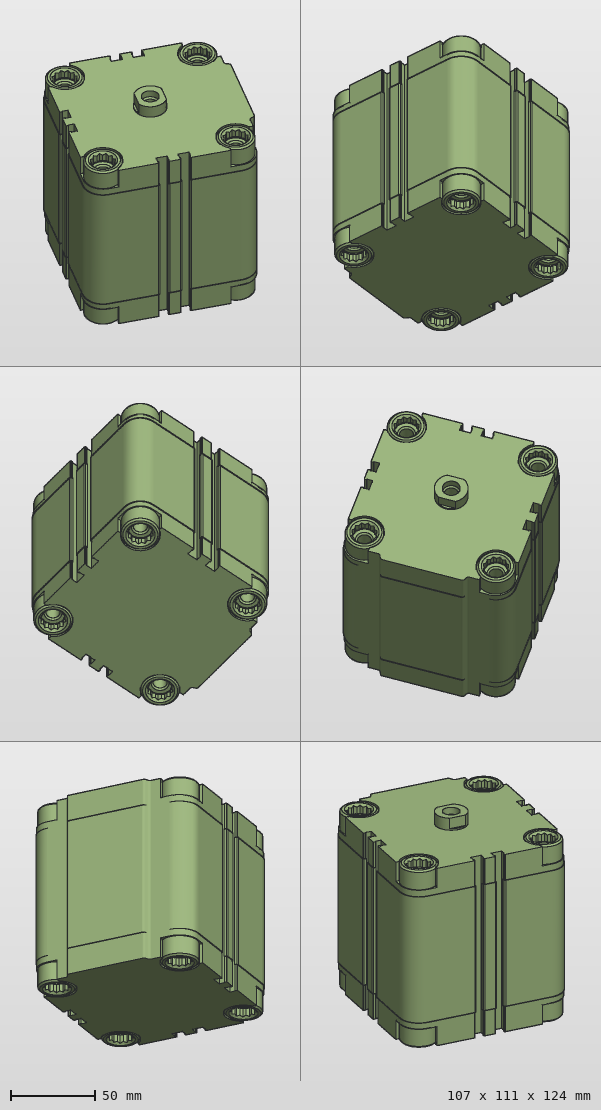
import cadquery as cq
import math

total_height = 124.0
housing_height = 116.2
cap_height = 16.7

outer_width = 107.0
outer_depth = 111.0
barrel_half = outer_width / 2
cap_inset = 0.5
cap_half = barrel_half - cap_inset
back_y = barrel_half
bolt_offset = 40.9
barrel_corner_radius = barrel_half - bolt_offset
cap_corner_radius = cap_half - bolt_offset

barrel_pad_y = outer_depth - barrel_half
pad_root_half = 27.3
pad_top_half = 25.5
pad_fillet = 1.7

slot_spacing = 13.5
slot_width = 6.8
slot_depth = 5.7
slot_lip = 2.1
barrel_lip_bevel = 1.0
cap_lip_bevel = 0.5
bevel_slope = 0.5

pocket_depth = 12.5
pocket_diameter = 23.5
pocket_reach = 6.3
head_diameter = 23.0
head_bevel = 1.1
socket_rim_diameter = 17.4
socket_diameter = 15.4
socket_rim_depth = 2.0
socket_star_depth = 6.5
socket_depth = 7.5
bolt_hole_diameter = 8.4
bolt_hole_rim_diameter = 10.5

rod_diameter = 20.0
rod_flats = 17.0
rod_collar = 1.0
rod_flat_bottom = housing_height + rod_collar
rod_base = housing_height - cap_height
rod_counterbore_diameter = 10.5
rod_counterbore_depth = 4.5
rod_hole_diameter = 8.4
rod_hole_depth = 19.8
drill_tip_angle = 118.0


def cone(bottom_diameter, top_diameter, bottom, top):
    """Upright cone frustum on the Z axis."""
    return cq.Workplane(cq.Solid.makeCone(
        bottom_diameter / 2, top_diameter / 2, top - bottom, cq.Vector(0, 0, bottom)))


def cylinder(diameter, bottom, top):
    """Upright cylinder on the Z axis."""
    return cq.Workplane("XY", origin=(0, 0, bottom)).circle(diameter / 2).extrude(top - bottom)


def edges_at(solid, x, y):
    """Vertical edges of a prism that pass through (x, y) or its mirror image (-x, y)."""
    near = 0.1
    selector = None
    for side in (-x, x):
        box = cq.selectors.BoxSelector((side - near, y - near, -total_height),
                                       (side + near, y + near, total_height))
        selector = box if selector is None else selector + box
    return solid.edges("|Z").edges(selector)


def housing_prism(half, corner_radius, pad_y, bottom, top):
    """Rounded block with a sloping-sided pad on its +Y face."""
    slope = (pad_root_half - pad_top_half) / (barrel_pad_y - back_y)
    pad_half = pad_root_half - slope * (pad_y - back_y)
    points = [
        (-half, -half), (half, -half), (half, back_y), (pad_root_half, back_y),
        (pad_half, pad_y), (-pad_half, pad_y), (-pad_root_half, back_y), (-half, back_y),
    ]
    prism = cq.Workplane("XY", origin=(0, 0, bottom)).polyline(points).close().extrude(top - bottom)
    for corner_y in (-half, back_y):
        prism = edges_at(prism, half, corner_y).fillet(corner_radius)
    prism = edges_at(prism, pad_root_half, back_y).fillet(pad_fillet)
    return edges_at(prism, pad_half, pad_y).fillet(pad_fillet)


def slot_cutter(half, lip_bevel, bottom, top):
    """T-slots with bevelled lips, in pairs on the -Y, +X and -X faces."""
    inner = slot_width / 2
    mouth = inner - lip_bevel
    lip_y = -barrel_half + slot_lip
    floor_y = -barrel_half + slot_depth
    right_side = [
        (inner, -half), (mouth, -half + bevel_slope * lip_bevel), (mouth, lip_y),
        (inner, lip_y), (inner, floor_y),
    ]
    left_side = [(-x, y) for x, y in reversed(right_side)]
    slot = cq.Workplane("XY", origin=(0, 0, bottom)).polyline(right_side + left_side)
    slot = slot.close().extrude(top - bottom)
    pair = slot.translate((-slot_spacing / 2, 0, 0)).union(slot.translate((slot_spacing / 2, 0, 0)))
    cutter = pair
    for angle in (90, -90):
        cutter = cutter.union(pair.rotate((0, 0, 0), (0, 0, 1), angle))
    return cutter


def housing_section(half, corner_radius, pad_y, lip_bevel, bottom, top):
    """One stretch of the housing, complete with its T-slots."""
    prism = housing_prism(half, corner_radius, pad_y, bottom, top)
    return prism.cut(slot_cutter(half, lip_bevel, bottom, top))


def corner_pocket():
    """Recess around a bolt head, open to the two faces that meet at the +X +Y corner."""
    floor = housing_height - pocket_depth
    side = pocket_reach + barrel_half - bolt_offset
    opening = cq.Workplane("XY", origin=(-pocket_reach, -pocket_reach, floor))
    opening = opening.rect(side, side, centered=False).extrude(pocket_depth)
    return opening.union(cylinder(pocket_diameter, floor, housing_height))


def bolt_head():
    """Round bolt head with a bevelled top, before its socket is cut."""
    shoulder = housing_height - head_bevel
    top_diameter = head_diameter - 2 * head_bevel
    head = cylinder(head_diameter, housing_height - pocket_depth, shoulder)
    return head.union(cone(head_diameter, top_diameter, shoulder, housing_height))


def bolt_socket():
    """Twelve-point socket with a countersunk rim, a round relief and a bevelled centre hole."""
    floor = housing_height - socket_depth
    relief_top = housing_height - socket_star_depth
    bevel = (bolt_hole_rim_diameter - bolt_hole_diameter) / 2
    socket = cylinder(socket_diameter, floor, relief_top)
    hexagon = cq.Workplane("XY", origin=(0, 0, relief_top)).polygon(6, socket_diameter)
    hexagon = hexagon.extrude(socket_star_depth)
    for angle in (0, 30):
        socket = socket.union(hexagon.rotate((0, 0, 0), (0, 0, 1), angle))
    rim_bottom_diameter = socket_rim_diameter - 2 * socket_rim_depth
    rim = cone(rim_bottom_diameter, socket_rim_diameter, housing_height - socket_rim_depth, housing_height)
    hole_bevel = cone(bolt_hole_diameter, bolt_hole_rim_diameter, floor - bevel, floor)
    hole = cylinder(bolt_hole_diameter, housing_height / 2, floor)
    return socket.union(rim).union(hole_bevel).union(hole)


def place_at_corners(feature):
    """Copies of a corner feature at all four corners, at the top and mirrored to the bottom."""
    copies = []
    for corner in range(4):
        top_copy = feature.translate((bolt_offset, bolt_offset, 0))
        top_copy = top_copy.rotate((0, 0, 0), (0, 0, 1), 90 * corner)
        copies += [top_copy, top_copy.mirror("XY", (0, 0, housing_height / 2))]
    return copies


def make_rod():
    """Piston rod with two wrench flats and a counterbored blind hole in its end."""
    rod = cylinder(rod_diameter, rod_base, total_height)
    for side in (-1, 1):
        waste = cq.Workplane("XY", origin=(0, side * rod_flats, rod_flat_bottom))
        waste = waste.rect(rod_diameter, rod_flats).extrude(total_height - rod_flat_bottom)
        rod = rod.cut(waste)
    counterbore_floor = total_height - rod_counterbore_depth
    bevel = (rod_counterbore_diameter - rod_hole_diameter) / 2
    hole_end = total_height - rod_hole_depth
    tip_height = rod_hole_diameter / 2 / math.tan(math.radians(drill_tip_angle / 2))
    rod = rod.cut(cylinder(rod_counterbore_diameter, counterbore_floor, total_height))
    rod = rod.cut(cone(rod_hole_diameter, rod_counterbore_diameter,
                       counterbore_floor - bevel, counterbore_floor))
    rod = rod.cut(cylinder(rod_hole_diameter, hole_end, counterbore_floor))
    return rod.cut(cone(0, rod_hole_diameter, hole_end - tip_height, hole_end))


def make_housing():
    """Barrel between two end caps, with a bolt head in each corner pocket and a rod bore."""
    cap_pad_y = barrel_pad_y - cap_inset
    upper_cap_bottom = housing_height - cap_height
    housing = housing_section(barrel_half, barrel_corner_radius, barrel_pad_y, barrel_lip_bevel,
                              cap_height, upper_cap_bottom)
    for bottom in (0, upper_cap_bottom):
        cap = housing_section(cap_half, cap_corner_radius, cap_pad_y, cap_lip_bevel,
                              bottom, bottom + cap_height)
        housing = housing.union(cap)
    for pocket in place_at_corners(corner_pocket()):
        housing = housing.cut(pocket)
    for head in place_at_corners(bolt_head()):
        housing = housing.union(head)
    for socket in place_at_corners(bolt_socket()):
        housing = housing.cut(socket)
    return housing.cut(cylinder(rod_diameter, rod_base, housing_height))


housing = make_housing()
piston_rod = make_rod()

result = cq.Compound.makeCompound([housing.solids().val(), piston_rod.solids().val()])